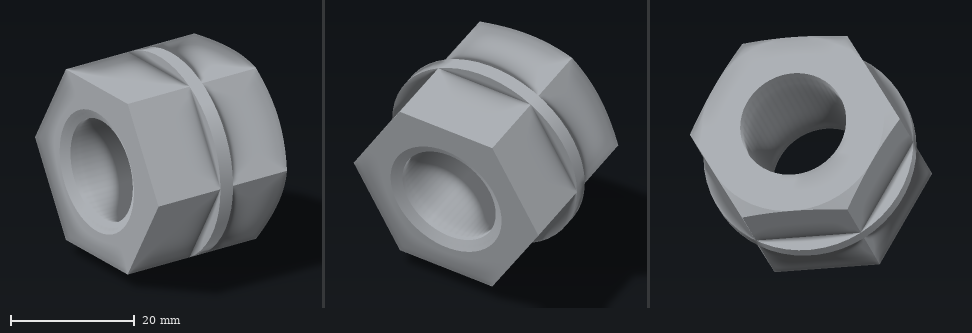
import cadquery as cq
import math

across_corners = 34.65
bore_diameter = 17.5
countersink_diameter = 20.82
countersink_angle = 120.0
total_length = 26.7
nut_length = 12.0
collar_thickness = 2.5
crown_diameter = 30.0
crown_angle = 30.0

collar_diameter = across_corners
countersink_depth = (countersink_diameter - bore_diameter) / 2 / math.tan(math.radians(countersink_angle / 2))
hex_end_length = total_length - nut_length - collar_thickness
front_y = -total_length / 2
collar_y = front_y + hex_end_length
joint_y = collar_y + collar_thickness
rear_y = joint_y + nut_length
crown_drop = (across_corners - crown_diameter) / 2 * math.tan(math.radians(crown_angle))


def plane_at(y):
    """Plane across the axis at position y, with its normal toward +Y."""
    return cq.Workplane(cq.Plane(origin=(0, y, 0), xDir=(1, 0, 0), normal=(0, 1, 0)))


def hex_bar(y, length):
    """Hexagonal bar with corners on the X axis, running from y toward +Y."""
    return plane_at(y).polygon(6, across_corners).extrude(length)


def round_bar(y, length, diameter):
    return plane_at(y).circle(diameter / 2).extrude(length)


def make_countersink():
    """Cone that widens the bore at the front face."""
    return cq.Workplane(cq.Solid.makeCone(
        countersink_diameter / 2, bore_diameter / 2, countersink_depth,
        pnt=cq.Vector(0, front_y, 0), dir=cq.Vector(0, 1, 0),
    ))


def make_collared_fitting():
    """Hexagonal end with a round collar behind it and a countersunk bore."""
    blank = hex_bar(front_y, hex_end_length).union(round_bar(collar_y, collar_thickness, collar_diameter))
    return blank.cut(round_bar(front_y, total_length, bore_diameter)).cut(make_countersink())


def make_crown_envelope():
    """Turned envelope whose conical end cuts off the rear corners of the nut."""
    outer_radius = across_corners / 2
    return (
        cq.Workplane("XY")
        .moveTo(0, joint_y)
        .lineTo(outer_radius, joint_y)
        .lineTo(outer_radius, rear_y - crown_drop)
        .lineTo(crown_diameter / 2, rear_y)
        .lineTo(0, rear_y)
        .close()
        .revolve(360, (0, 0, 0), (0, 1, 0))
    )


def make_nut():
    """Bored hexagonal nut with crowned corners on its rear end."""
    blank = hex_bar(joint_y, nut_length).intersect(make_crown_envelope())
    return blank.cut(round_bar(joint_y, nut_length, bore_diameter))


collared_fitting = make_collared_fitting()
nut = make_nut()

result = cq.Compound.makeCompound([collared_fitting.val(), nut.val()])